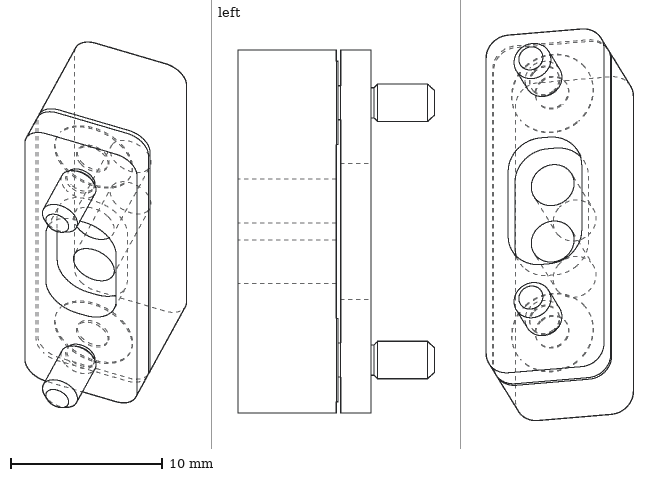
import cadquery as cq

width = 8.0
height = 24.0
depth = 13.0
corner_radius = 1.5

body_depth = 6.5
gap = 0.3
plate_depth = 2.02
body_front = depth / 2 - body_depth
plate_back = body_front - gap
plate_front = plate_back - plate_depth

window_width = 5.0
window_height = 9.0
window_radius = 2.2
hole_diameter = 2.9
hole_spacing = 4.0

pin_spacing = 17.0
pin_radius = 1.25
neck_radius = 1.0
tip_radius = 0.82
neck_length = 0.2
neck_taper = 0.25
tip_length = 0.48
washer_radius = 2.75
washer_thickness = 0.12
spacer_radius = 1.13


def slab(size_x, size_z, radius, back, thickness):
    """Rounded rectangular slab whose back face is at Y = back, growing toward -Y."""
    return (
        cq.Workplane("XZ", origin=(0, back, 0))
        .rect(size_x, size_z)
        .extrude(thickness)
        .edges("|Y")
        .fillet(radius)
    )


def body():
    hole_places = [(0, -hole_spacing / 2), (0, hole_spacing / 2)]
    holes = (
        cq.Workplane("XZ", origin=(0, depth / 2, 0))
        .pushPoints(hole_places)
        .circle(hole_diameter / 2)
        .extrude(body_depth)
    )
    return slab(width, height, corner_radius, depth / 2, body_depth).cut(holes)


def plate():
    window = slab(window_width, window_height, window_radius, plate_back, plate_depth)
    return slab(width, height, corner_radius, plate_back, plate_depth).cut(window)


def stud(z):
    """Washer, spacer and pin on one axis at height z, as a turned profile."""
    neck_end = plate_front - neck_length
    pin_start = neck_end - neck_taper
    pin_end = -depth / 2
    washer_face = body_front - washer_thickness
    profile = [
        (0, body_front),
        (washer_radius, body_front),
        (washer_radius, washer_face),
        (spacer_radius, washer_face),
        (spacer_radius, plate_back),
        (neck_radius, plate_back),
        (neck_radius, neck_end),
        (pin_radius, pin_start),
        (pin_radius, pin_end + tip_length),
        (tip_radius, pin_end),
        (0, pin_end),
    ]
    turned = cq.Workplane("XY").polyline(profile).close().revolve(360, (0, 0), (0, 1))
    return turned.translate((0, 0, z))


result = body().union(plate())
for side in (-1, 1):
    result = result.union(stud(side * pin_spacing / 2))